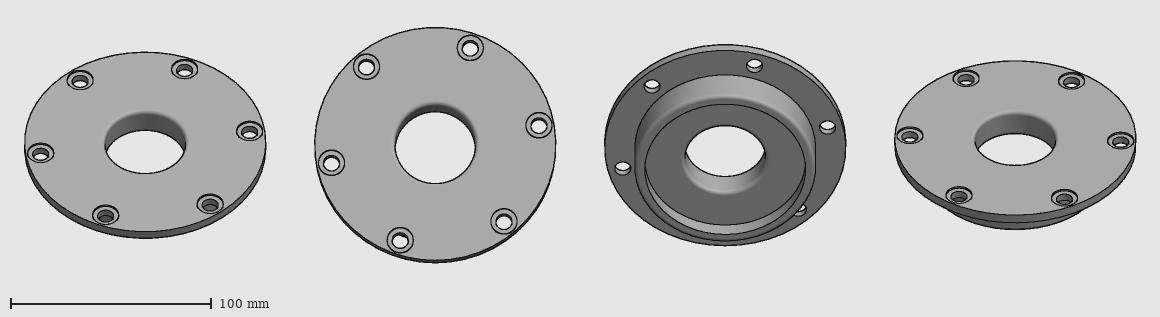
import cadquery as cq

flange_diameter = 120
flange_thickness = 5

hub_diameter = 90
total_height = 23
hub_height = total_height - flange_thickness
hub_edge_radius = 2

web_thickness = 15
recess_depth = total_height - web_thickness
recess_wall = 5
recess_diameter = hub_diameter - 2 * recess_wall

bore_diameter = 40
bore_edge_radius = 2

bolt_count = 6
bolt_circle_diameter = 105
first_bolt_angle = 90
full_turn = 360
bolt_hole_diameter = 8
counterbore_diameter = 13
counterbore_depth = 1


def make_hub():
    """Plain cylinder standing on Z = 0."""
    return cq.Workplane("XY").circle(hub_diameter / 2).extrude(hub_height)


def make_flange():
    """Round plate on top of the hub."""
    plane = cq.Workplane("XY").workplane(offset=hub_height)
    return plane.circle(flange_diameter / 2).extrude(flange_thickness)


def cut_recess(body):
    """Round recess opening downward from Z = 0."""
    recess = cq.Workplane("XY").circle(recess_diameter / 2).extrude(recess_depth)
    return body.cut(recess)


def cut_bore(body):
    """Through bore in the web with its upper and lower rims rounded."""
    bored = body.faces(">Z").workplane().hole(bore_diameter)
    bore_rims = cq.selectors.RadiusNthSelector(0)
    return bored.edges("%CIRCLE").edges(bore_rims).fillet(bore_edge_radius)


def round_hub_rim(body):
    """Rounding of the outer lower edge of the hub."""
    outer_rim = cq.selectors.RadiusNthSelector(-1)
    return body.faces("<Z").edges(outer_rim).fillet(hub_edge_radius)


def cut_bolt_holes(body):
    """Ring of counterbored through holes in the flange, sunk from above."""
    top_plane = body.faces(">Z").workplane(origin=(0, 0, total_height))
    hole_centers = top_plane.polarArray(bolt_circle_diameter / 2, first_bolt_angle, full_turn, bolt_count)
    return hole_centers.cboreHole(
        bolt_hole_diameter, counterbore_diameter, counterbore_depth, flange_thickness
    )


blank = make_hub().union(make_flange())
bored_body = cut_bore(cut_recess(blank))
rounded_body = round_hub_rim(bored_body)
result = cut_bolt_holes(rounded_body)